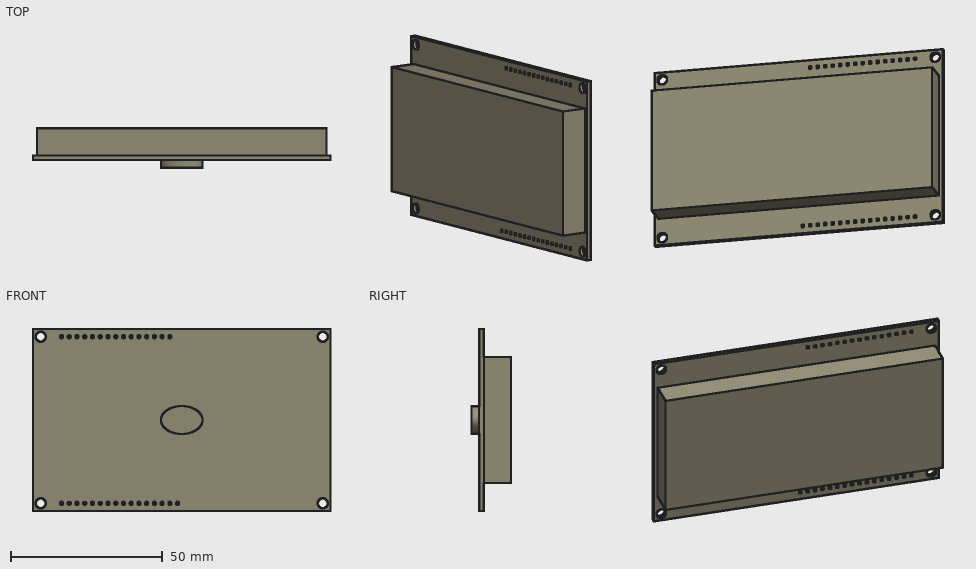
import cadquery as cq

board_length = 98.0
board_height = 60.0
board_thickness = 1.6

display_length = 95.5
display_height = 41.65
display_depth = 8.9

button_width = 13.7
button_height = 9.2
button_depth = 2.5

mount_hole_diameter = 3.2
mount_hole_inset = 2.5

pin_hole_diameter = 0.9
pin_pitch = 2.5
first_pin_inset = 9.4
top_pin_count = 15
bottom_pin_count = 16

mount_x = board_length / 2 - mount_hole_inset
row_z = board_height / 2 - mount_hole_inset
first_pin_x = first_pin_inset - board_length / 2


def front_plane():
    """Sketch plane on the board's front face (y = 0), with its normal toward -Y."""
    return cq.Workplane("XZ")


def pin_row(count, z):
    """Centres of one horizontal row of pin holes."""
    return [(first_pin_x + i * pin_pitch, z) for i in range(count)]


def through_holes(points, diameter):
    """Cylinders that pass through the board at the given centres."""
    return front_plane().pushPoints(points).circle(diameter / 2).extrude(-board_thickness)


mount_points = [(x, z) for x in (-mount_x, mount_x) for z in (-row_z, row_z)]
pin_points = pin_row(top_pin_count, row_z) + pin_row(bottom_pin_count, -row_z)

board = front_plane().rect(board_length, board_height).extrude(-board_thickness)
board = board.cut(through_holes(mount_points, mount_hole_diameter))
board = board.cut(through_holes(pin_points, pin_hole_diameter))

display = (
    front_plane()
    .workplane(offset=-board_thickness)
    .rect(display_length, display_height)
    .extrude(-display_depth)
)

button = front_plane().ellipse(button_width / 2, button_height / 2).extrude(button_depth)

result = board.union(display).union(button)